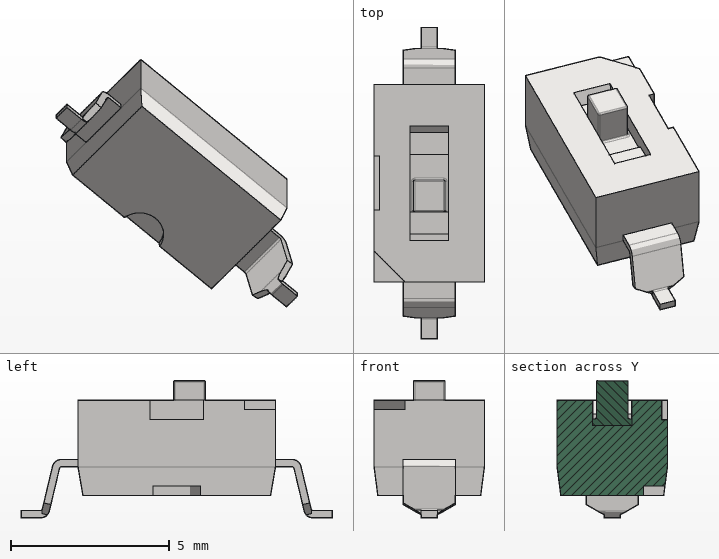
import cadquery as cq
import math

HOUSING_BOTTOM = 0.7
PARTING_HEIGHT = 1.61
HOUSING_TOP = 3.7
KNOB_TOP = 4.32

HOUSING_WIDTH = 3.48
HOUSING_LENGTH = 6.22
BASE_WIDTH = 3.24
BASE_LENGTH = 5.91
CORNER_LEG = 0.98
CORNER_DEPTH = 0.29
SIDE_NOTCH_LENGTH = 1.7
SIDE_NOTCH_INSET = 0.18
SIDE_NOTCH_DEPTH = 0.62
BOTTOM_NOTCH_DIAMETER = 1.51
BOTTOM_NOTCH_HEIGHT = 0.3

SLOT_WIDTH = 1.22
SLOT_LENGTH = 3.61
LEDGE_LENGTH = 3.19
LEDGE_DEPTH = 0.43
WINDOW_LENGTH = 1.8
PLATE_DROP = 0.16
PLATE_THICKNESS = 0.2

KNOB_SIZE = 1.0
KNOB_ROUND = 0.05
KNOB_BASE_ROUND = 0.06

OVERALL_LENGTH = 9.8
TERMINAL_WIDTH = 1.64
TERMINAL_THICKNESS = 0.24
TERMINAL_TILT = 13.4
FOOT_WIDTH = 0.51
FOOT_BEND_REACH = 4.24
SHOULDER_DIAMETER = 0.6
HEEL_DIAMETER = 0.57
TAPER_START = 0.47
TAPER_ANGLE = 31.0

LEDGE_HEIGHT = HOUSING_TOP - LEDGE_DEPTH
PLATE_TOP = LEDGE_HEIGHT - PLATE_DROP
PLATE_BOTTOM = PLATE_TOP - PLATE_THICKNESS
SHOULDER_TOP = PARTING_HEIGHT + TERMINAL_THICKNESS


def block(width, length, bottom, top):
    """Box centred on the Z axis between two heights."""
    return cq.Workplane("XY", origin=(0, 0, bottom)).rect(width, length).extrude(top - bottom)


def make_slot():
    """Space of the slot: sloped ends down to the ledges, then the window for the slider plate."""
    sloped = (
        cq.Workplane("YZ")
        .moveTo(-SLOT_LENGTH / 2, HOUSING_TOP)
        .lineTo(-LEDGE_LENGTH / 2, LEDGE_HEIGHT)
        .lineTo(LEDGE_LENGTH / 2, LEDGE_HEIGHT)
        .lineTo(SLOT_LENGTH / 2, HOUSING_TOP)
        .close()
        .extrude(SLOT_WIDTH / 2, both=True)
    )
    return sloped.union(block(SLOT_WIDTH, WINDOW_LENGTH, PLATE_BOTTOM, LEDGE_HEIGHT))


def make_housing():
    """Upper box and tapered base in one body, with its notches and the slot cut out."""
    upper = block(HOUSING_WIDTH, HOUSING_LENGTH, PARTING_HEIGHT, HOUSING_TOP)
    lower = (
        cq.Workplane("XY", origin=(0, 0, HOUSING_BOTTOM))
        .rect(BASE_WIDTH, BASE_LENGTH)
        .workplane(offset=PARTING_HEIGHT - HOUSING_BOTTOM)
        .rect(HOUSING_WIDTH, HOUSING_LENGTH)
        .loft(ruled=True)
    )
    left = -HOUSING_WIDTH / 2
    front = -HOUSING_LENGTH / 2
    corner_step = (
        cq.Workplane("XY", origin=(0, 0, HOUSING_TOP - CORNER_DEPTH))
        .polyline([(left, front), (left + CORNER_LEG, front), (left, front + CORNER_LEG)])
        .close()
        .extrude(CORNER_DEPTH)
    )
    side_notch = block(
        2 * SIDE_NOTCH_INSET, SIDE_NOTCH_LENGTH, HOUSING_TOP - SIDE_NOTCH_DEPTH, HOUSING_TOP
    ).translate((left, 0, 0))
    bottom_notch = (
        cq.Workplane("XY", origin=(left, 0, HOUSING_BOTTOM))
        .circle(BOTTOM_NOTCH_DIAMETER / 2)
        .extrude(BOTTOM_NOTCH_HEIGHT)
    )
    housing = upper.union(lower)
    for space in (corner_step, side_notch, bottom_notch, make_slot()):
        housing = housing.cut(space)
    return housing


def make_slider():
    """Plate that fills the window, with the knob standing at its -Y end."""
    plate = block(SLOT_WIDTH, WINDOW_LENGTH, PLATE_BOTTOM, PLATE_TOP)
    knob_y = (KNOB_SIZE - WINDOW_LENGTH) / 2
    knob = (
        block(KNOB_SIZE, KNOB_SIZE, PLATE_TOP, KNOB_TOP)
        .edges("|Z or >Z")
        .fillet(KNOB_ROUND)
        .translate((0, knob_y, 0))
    )
    slider = plate.union(knob)
    base_edge = cq.selectors.NearestToPointSelector((0, knob_y + KNOB_SIZE / 2, PLATE_TOP))
    return slider.edges(base_edge).fillet(KNOB_BASE_ROUND)


def make_strip():
    """Full-width strip of the +Y terminal: shoulder out of the housing wall, tilted leg and foot."""
    tilt = math.radians(TERMINAL_TILT)
    shoulder_y = FOOT_BEND_REACH - (SHOULDER_TOP - TERMINAL_THICKNESS) * math.tan(tilt)
    bend_shift = TERMINAL_THICKNESS * math.tan((math.pi / 2 - tilt) / 2)
    wall_y = HOUSING_LENGTH / 2
    end_y = OVERALL_LENGTH / 2
    shoulder_outer = (shoulder_y, SHOULDER_TOP)
    shoulder_inner = (shoulder_y - bend_shift, PARTING_HEIGHT)
    heel_inner = (FOOT_BEND_REACH, TERMINAL_THICKNESS)
    heel_outer = (FOOT_BEND_REACH - bend_shift, 0)
    profile = [
        (wall_y, PARTING_HEIGHT),
        (wall_y, SHOULDER_TOP),
        shoulder_outer,
        heel_inner,
        (end_y, TERMINAL_THICKNESS),
        (end_y, 0),
        heel_outer,
        shoulder_inner,
    ]
    strip = cq.Workplane("YZ").polyline(profile).close().extrude(TERMINAL_WIDTH / 2, both=True)
    bends = [
        (shoulder_outer, SHOULDER_DIAMETER / 2),
        (shoulder_inner, SHOULDER_DIAMETER / 2 - TERMINAL_THICKNESS),
        (heel_outer, HEEL_DIAMETER / 2),
        (heel_inner, HEEL_DIAMETER / 2 - TERMINAL_THICKNESS),
    ]
    for (y, z), radius in bends:
        strip = strip.edges(cq.selectors.NearestToPointSelector((0, y, z))).fillet(radius)
    return strip


def make_taper_waste():
    """Space beside the +X edge of the +Y terminal, where its leg tapers to the narrow foot."""
    tilt = math.radians(TERMINAL_TILT)
    half_width = TERMINAL_WIDTH / 2
    half_foot = FOOT_WIDTH / 2
    leg_plane = cq.Plane(
        origin=(0, FOOT_BEND_REACH, TERMINAL_THICKNESS),
        xDir=(1, 0, 0),
        normal=(0, -math.cos(tilt), -math.sin(tilt)),
    )
    taper_top = (TAPER_START - TERMINAL_THICKNESS) / math.cos(tilt)
    taper_bottom = taper_top - (half_width - half_foot) * math.tan(math.radians(TAPER_ANGLE))
    reach = OVERALL_LENGTH / 2
    outline = [
        (half_width, taper_top),
        (half_foot, taper_bottom),
        (half_foot, -reach),
        (half_width, -reach),
    ]
    beside_leg = cq.Workplane(leg_plane).polyline(outline).close().extrude(reach, both=True)
    foot_length = OVERALL_LENGTH / 2 - FOOT_BEND_REACH
    beside_foot = (
        cq.Workplane("XY")
        .box(half_width - half_foot, foot_length, SHOULDER_TOP, centered=False)
        .translate((half_foot, FOOT_BEND_REACH, 0))
    )
    return beside_leg.union(beside_foot)


def make_terminal(side):
    """Bent terminal; side is -1 for the -Y end of the housing and +1 for the +Y end."""
    waste = make_taper_waste()
    terminal = make_strip().cut(waste).cut(waste.mirror("YZ"))
    if side < 0:
        terminal = terminal.mirror("XZ")
    return terminal


housing = make_housing()
slider = make_slider()
terminals = [make_terminal(side) for side in (-1, 1)]

result = cq.Compound.makeCompound(
    [housing.val(), slider.val(), *[terminal.val() for terminal in terminals]]
)